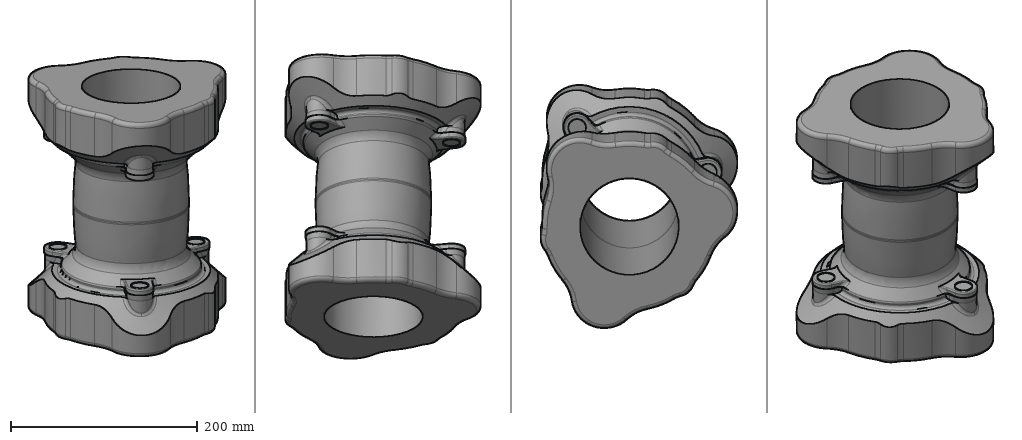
import cadquery as cq
import math

half_height = 134.0
bore_radius = 53.0
lobe_count = 3
pitch = 360.0 / lobe_count
first_lobe_angle = 90.0

base_radius = 93.7
lobe_distance = 82.0
lobe_radius = 35.4
lobe_blend = 46.0
nose_tip = 96.7
nose_radius = 20.0
nose_distance = nose_tip - nose_radius
nose_blend = 20.0
rim_fillet = 5.0

band_radius = 62.4
band_half_width = 1.5
neck_radius = 59.0
neck_z = 53.1
neck_fillet = 13.0
shoulder_radius = 75.5
shoulder_z = neck_z + shoulder_radius - neck_radius
shoulder_fillet = 3.0
ledge_z = 76.3
ledge_fillet = 4.0
ledge_outer_radius = 85.2
clear_radius = lobe_distance + lobe_radius + 5.0
clear_z = ledge_z + clear_radius - ledge_outer_radius

boss_distance = 86.0
shaft_radius = 14.0
shaft_root_fillet = 5.0
root_patch_radius = 26.0
root_patch_height = 25.0
flare_radius = 14.6
flare_end_z = 75.0
head_radius = 15.0
head_start_z = 62.2
head_end_z = 68.7
head_rim_fillet = 1.5
web_fillet = 5.0
dimple_radius = 9.5
dimple_depth = 1.0

lobe_axes = [first_lobe_angle + index * pitch for index in range(lobe_count)]


def polar(radius, degrees, origin=(0.0, 0.0)):
    angle = math.radians(degrees)
    return (origin[0] + radius * math.cos(angle), origin[1] + radius * math.sin(angle))


def heading(start, end):
    """Direction from start to end, in degrees."""
    return math.degrees(math.atan2(end[1] - start[1], end[0] - start[0]))


def bump_arcs(axis, distance, radius, blend):
    """(middle, end) points of the three arcs of a rounded bump, and its first point.

    The bump is a circle centred at `distance` along `axis`, joined to the base
    circle on both sides by concave blends.
    """
    reach = base_radius + blend
    spread = math.degrees(
        math.acos((reach**2 + distance**2 - (radius + blend) ** 2) / (2 * reach * distance))
    )
    center = polar(distance, axis)

    def blend_points(side):
        blend_axis = axis + side * spread
        blend_center = polar(reach, blend_axis)
        on_base = polar(base_radius, blend_axis)
        on_bump = polar(radius, heading(center, blend_center), center)
        chord_middle = ((on_base[0] + on_bump[0]) / 2, (on_base[1] + on_bump[1]) / 2)
        middle = polar(blend, heading(blend_center, chord_middle), blend_center)
        return on_base, middle, on_bump

    base_in, middle_in, bump_in = blend_points(-1)
    base_out, middle_out, bump_out = blend_points(1)
    tip = polar(distance + radius, axis)
    arcs = [(middle_in, bump_in), (tip, bump_out), (middle_out, base_out)]
    return base_in, arcs, spread


def flange_outline():
    """Closed wire at the ledge height, running counterclockwise from the first lobe."""
    bumps = []
    for axis in lobe_axes:
        bumps.append(bump_arcs(axis, lobe_distance, lobe_radius, lobe_blend))
        bumps.append(bump_arcs(axis + pitch / 2, nose_distance, nose_radius, nose_blend))
    lobe_spread = bumps[0][2]
    nose_spread = bumps[1][2]
    base_middle = (lobe_spread + pitch / 2 - nose_spread) / 2

    outline = cq.Workplane("XY").workplane(offset=ledge_z).moveTo(*bumps[0][0])
    for number, (_, arcs, _) in enumerate(bumps):
        for middle, end in arcs:
            outline = outline.threePointArc(middle, end)
        lobe_axis = lobe_axes[number // 2]
        after_lobe = number % 2 == 0
        middle_angle = lobe_axis + (base_middle if after_lobe else pitch - base_middle)
        next_start = bumps[(number + 1) % len(bumps)][0]
        outline = outline.threePointArc(polar(base_radius, middle_angle), next_start)
    return outline.close()


def barrel_middle():
    """Point halfway along the barrel arc, which leaves the band parallel to the axis."""
    drop = band_radius - neck_radius
    length = neck_z - band_half_width
    radius = (length**2 + drop**2) / (2 * drop)
    half_angle = math.asin(length / radius) / 2
    return (
        band_radius - radius * (1 - math.cos(half_angle)),
        band_half_width + radius * math.sin(half_angle),
    )


def neck_cone_radius(z):
    """Radius at height z of the 45 degree cone that starts at the neck."""
    return neck_radius + z - neck_z


def turned_solid(points):
    return cq.Workplane("XZ").polyline(points).close().revolve(360, (0, 0, 0), (0, 1, 0))


def ring_edges(radius, z):
    """Selector for the full circle of this radius at this height."""
    margin = 0.5
    reach = radius + margin
    return cq.selectors.BoxSelector(
        (-reach, -reach, z - margin), (reach, reach, z + margin), boundingbox=True
    )


def turned_body():
    """Barrel, neck cone and shoulder, up to the mounting face."""
    body = (
        cq.Workplane("XZ")
        .lineTo(band_radius, 0)
        .lineTo(band_radius, band_half_width)
        .threePointArc(barrel_middle(), (neck_radius, neck_z))
        .lineTo(shoulder_radius, shoulder_z)
        .lineTo(shoulder_radius, ledge_z)
        .lineTo(ledge_outer_radius, ledge_z)
        .lineTo(ledge_outer_radius, half_height)
        .lineTo(0, half_height)
        .close()
        .revolve(360, (0, 0, 0), (0, 1, 0))
    )
    body = body.edges(ring_edges(neck_radius, neck_z)).fillet(neck_fillet)
    body = body.edges(ring_edges(shoulder_radius, shoulder_z)).fillet(shoulder_fillet)
    return body.edges(ring_edges(shoulder_radius, ledge_z)).fillet(ledge_fillet)


def at_each_lobe(piece):
    """Copies of a piece modelled along +X, turned onto every lobe axis."""
    copies = [piece.rotate((0, 0, 0), (0, 0, 1), axis) for axis in lobe_axes]
    return copies[0].union(copies[1]).union(copies[2])


def back_cone():
    """Solid of revolution whose lower face is the 45 degree back of the flange."""
    start_radius = boss_distance - 2 * shaft_radius
    start_z = ledge_z - (ledge_outer_radius - start_radius)
    return turned_solid(
        [
            (0, start_z),
            (start_radius, start_z),
            (clear_radius, clear_z),
            (clear_radius, half_height),
            (0, half_height),
        ]
    )


def flange():
    """Lobed plate with a rounded rim and a conical back."""
    plate = flange_outline().extrude(half_height - ledge_z)
    return plate.faces(">Z").edges().fillet(rim_fillet).intersect(back_cone())


def shaft_root():
    """Shaft along +X with its fillet into the back of the flange, kept above the ledge."""
    back = back_cone().rotate((0, 0, 0), (0, 0, 1), 180)
    start_z = back.val().BoundingBox().zmin
    shaft = cq.Workplane("XY", origin=(boss_distance, 0, start_z)).circle(shaft_radius)
    rooted = back.union(shaft.extrude(clear_z - start_z)).edges("%BSPLINE").fillet(shaft_root_fillet)
    surroundings = cq.Workplane("XY", origin=(boss_distance, 0, ledge_z)).circle(root_patch_radius)
    return rooted.intersect(surroundings.extrude(root_patch_height))


def finger(radius, bottom_z, top_z):
    """Round-ended bar along +X from the turned axis out past the boss centre."""
    height = top_z - bottom_z
    plan = cq.Workplane("XY", origin=(0, 0, bottom_z))
    bar = plan.rect(boss_distance, 2 * radius).extrude(height).translate((boss_distance / 2, 0, 0))
    return bar.union(plan.center(boss_distance, 0).circle(radius).extrude(height))


def heads():
    """Boss heads and their webs, blended into the neck cone."""
    cone = turned_solid(
        [
            (0, head_start_z),
            (neck_cone_radius(head_start_z), head_start_z),
            (neck_cone_radius(head_end_z), head_end_z),
            (0, head_end_z),
        ]
    )
    blended = cone.union(at_each_lobe(finger(head_radius, head_start_z, head_end_z)))
    blended = blended.edges("%HYPERBOLA").fillet(web_fillet)
    return blended.faces("<Z").edges().fillet(head_rim_fillet)


def shafts():
    """Shafts between head and flange, their webs blended into the shoulder wall."""
    wall_radius = neck_cone_radius(head_end_z)
    wall = cq.Workplane("XY", origin=(0, 0, head_end_z)).circle(wall_radius)
    bars = at_each_lobe(finger(shaft_radius, head_end_z, ledge_z))
    blended = wall.extrude(ledge_z - head_end_z).union(bars)
    corners = [
        edge
        for edge in blended.edges("|Z").vals()
        if math.hypot(edge.Center().x, edge.Center().y) < shoulder_radius
    ]
    return blended.newObject(corners).fillet(web_fillet)


def shaft_flare():
    """Slight taper that widens the shaft towards its head."""
    plan = cq.Workplane("XY", origin=(boss_distance, 0, head_end_z)).circle(flare_radius)
    height = flare_end_z - head_end_z
    return plan.workplane(offset=height).circle(shaft_radius).loft(ruled=True)


def dimple():
    """Shallow round recess in the end face of a boss head."""
    plan = cq.Workplane("XY", origin=(boss_distance, 0, head_start_z))
    return plan.circle(dimple_radius).extrude(dimple_depth)


half = turned_body().union(heads()).union(shafts())
half = half.union(at_each_lobe(shaft_flare()))
half = half.union(flange().union(at_each_lobe(shaft_root())))
half = half.cut(at_each_lobe(dimple()))
bore = cq.Workplane("XY").circle(bore_radius).extrude(half_height, both=True)
result = half.union(half.mirror("XY")).cut(bore)